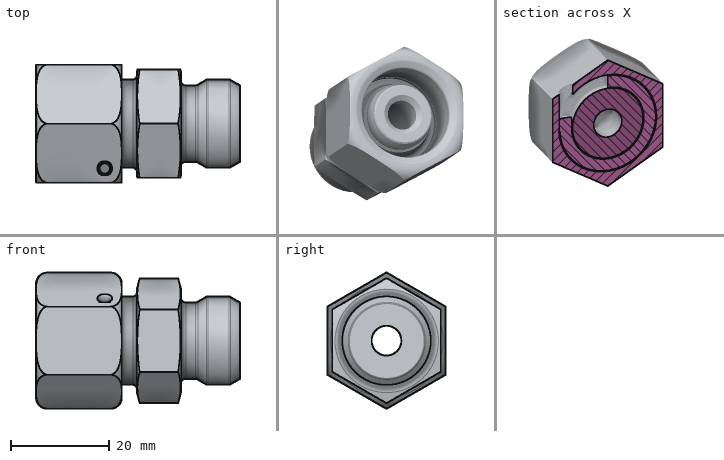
import cadquery as cq
import math


NUT_LENGTH = 17.5
NUT_ACROSS_FLATS = 24.0
NUT_EDGE_ROUND = 2.4
NUT_THREAD_RADIUS = 18.4 / 2
NUT_REAR_RADIUS = 18.25 / 2
NUT_THREAD_DEPTH = 10.0
MOUTH_FLAT_RADIUS = 10.93
MOUTH_CONE_RADII = (10.4, 9.5)
MOUTH_CONE_ANGLE = 60.0
CORNER_FACTOR = 2 / math.sqrt(3)

WIRE_DIAMETER = 2.65
GROOVE_SIDE = WIRE_DIAMETER + 0.2
WIRE_X = 14.0
WIRE_RING_RADIUS = 9.1
WIRE_RING_ANGLE = 270.0
WIRE_TOP_Z = 2.5
WIRE_END_CHAMFER = 0.28
ENTRY_DIAMETER = 3.0
ENTRY_FLOOR_Z = 7.8

BORE_RADIUS = 6.0 / 2
BORE_MOUTH_RADIUS = 4.0
BORE_MOUTH_ANGLE = 45.0
NOSE_X = 2.45
NOSE_TIP_RADIUS = 5.82
NOSE_CHAMFER = 0.28
NOSE_HALF_ANGLE = 12.0
LIP_RADIUS = 6.62
GROOVE_BACK_RADIUS = 7.03
CONE_END_RADIUS = 7.55
SHOULDER_INNER_RADIUS = 8.3

ORING_INNER_RADIUS = 10.2 / 2
ORING_SECTION = 1.5

COLLAR_RADIUS = 17.95 / 2
COLLAR_CHAMFER = 0.14
COLLAR_ROUND = 0.85
HEX_START_X = 20.5
HEX_END_X = 29.5
HEX_ACROSS_FLATS = 22.0
HEX_CORNER_RADIUS = 25.34 / 2
HEX_FACE_RADIUS = 10.5
HEX_CHAMFER_ANGLE = 15.0

RELIEF_ROUND = 1.0
RELIEF_RADIUS = 15.6 / 2
RELIEF_START_X = 30.4
RELIEF_END_X = 32.4
STUD_RADIUS = 18.0 / 2
STUD_CONE_ANGLE = 30.0
STUD_EDGE_ROUND = 0.5
STUD_END_X = 39.2
STUD_TIP_ROUND = 0.25
TOTAL_LENGTH = 41.5


def tangent(degrees):
    return math.tan(math.radians(degrees))


NOSE_SLOPE = tangent(NOSE_HALF_ANGLE)
NOSE_CONE_X = NOSE_X + NOSE_CHAMFER
NOSE_CONE_RADIUS = NOSE_TIP_RADIUS + NOSE_CHAMFER
LIP_X = NOSE_CONE_X + (LIP_RADIUS - NOSE_CONE_RADIUS) / NOSE_SLOPE
GROOVE_BACK_X = NOSE_CONE_X + (GROOVE_BACK_RADIUS - NOSE_CONE_RADIUS) / NOSE_SLOPE
CONE_END_X = NOSE_CONE_X + (CONE_END_RADIUS - NOSE_CONE_RADIUS) / NOSE_SLOPE


def revolve_about_x(profile):
    """Solid of revolution about X from an outline that begins and ends on the axis."""
    return profile.close().revolve(360, (0, 0, 0), (1, 0, 0))


def hexagon(start, length, across_flats):
    """Hexagonal prism along X with corners at the top and bottom."""
    return (
        cq.Workplane("YZ")
        .workplane(offset=start)
        .polygon(6, across_flats * CORNER_FACTOR)
        .extrude(length)
        .rotate((0, 0, 0), (1, 0, 0), 90)
    )


def ring_about_x(x, radius, section, angle=360):
    """Round-section ring about X that starts at the -Y side and runs down through -Z."""
    return (
        cq.Workplane("XY")
        .center(x, -radius)
        .circle(section / 2)
        .revolve(angle, (0, radius, 0), (1, radius, 0))
    )


def wire_groove():
    """Square-section ring, of which the nut and the collar each take a share."""
    return (
        cq.Workplane("XY")
        .center(WIRE_X, WIRE_RING_RADIUS)
        .rect(GROOVE_SIDE, GROOVE_SIDE)
        .revolve(360, (0, -WIRE_RING_RADIUS, 0), (1, -WIRE_RING_RADIUS, 0))
    )


def upright_cylinder(diameter, bottom, top):
    """Vertical cylinder on the line where the wire runs tangentially out of the ring."""
    return (
        cq.Workplane("XY")
        .workplane(offset=bottom)
        .center(WIRE_X, -WIRE_RING_RADIUS)
        .circle(diameter / 2)
        .extrude(top - bottom)
    )


def make_nut():
    corner_radius = NUT_ACROSS_FLATS * CORNER_FACTOR / 2
    face_radius = corner_radius - NUT_EDGE_ROUND
    envelope = revolve_about_x(
        cq.Workplane("XY")
        .lineTo(0, face_radius)
        .radiusArc((NUT_EDGE_ROUND, corner_radius), NUT_EDGE_ROUND)
        .lineTo(NUT_LENGTH - NUT_EDGE_ROUND, corner_radius)
        .radiusArc((NUT_LENGTH, face_radius), NUT_EDGE_ROUND)
        .lineTo(NUT_LENGTH, 0)
    )
    nut = hexagon(0, NUT_LENGTH, NUT_ACROSS_FLATS).intersect(envelope)

    cone_angle = math.radians(MOUTH_CONE_ANGLE)
    cone_outer, cone_inner = MOUTH_CONE_RADII
    lip_round = (MOUTH_FLAT_RADIUS - cone_outer) / math.cos(cone_angle)
    bore_round = (cone_inner - NUT_THREAD_RADIUS) / (1 - math.cos(cone_angle))
    cone_start = lip_round * (1 - math.sin(cone_angle))
    cone_end = cone_start + (cone_outer - cone_inner) / math.tan(cone_angle)
    thread_start = cone_end + bore_round * math.sin(cone_angle)
    cavity = revolve_about_x(
        cq.Workplane("XY")
        .lineTo(0, MOUTH_FLAT_RADIUS)
        .radiusArc((cone_start, cone_outer), -lip_round)
        .lineTo(cone_end, cone_inner)
        .radiusArc((thread_start, NUT_THREAD_RADIUS), -bore_round)
        .lineTo(NUT_THREAD_DEPTH, NUT_THREAD_RADIUS)
        .lineTo(NUT_THREAD_DEPTH, NUT_REAR_RADIUS)
        .lineTo(NUT_LENGTH, NUT_REAR_RADIUS)
        .lineTo(NUT_LENGTH, 0)
    )
    entry = upright_cylinder(ENTRY_DIAMETER, ENTRY_FLOOR_Z, corner_radius)
    wire_passage = upright_cylinder(WIRE_DIAMETER, 0, ENTRY_FLOOR_Z)
    return nut.cut(cavity).cut(wire_groove()).cut(wire_passage).cut(entry)


def make_wrench_hexagon():
    chamfer_length = (HEX_CORNER_RADIUS - HEX_FACE_RADIUS) * tangent(HEX_CHAMFER_ANGLE)
    envelope = revolve_about_x(
        cq.Workplane("XY")
        .moveTo(HEX_START_X, 0)
        .lineTo(HEX_START_X, HEX_FACE_RADIUS)
        .lineTo(HEX_START_X + chamfer_length, HEX_CORNER_RADIUS)
        .lineTo(HEX_END_X - chamfer_length, HEX_CORNER_RADIUS)
        .lineTo(HEX_END_X, HEX_FACE_RADIUS)
        .lineTo(HEX_END_X, 0)
    )
    return hexagon(HEX_START_X, HEX_END_X - HEX_START_X, HEX_ACROSS_FLATS).intersect(envelope)


def make_nose_and_collar():
    nose_angle = math.radians(NOSE_HALF_ANGLE)
    shoulder_round = (SHOULDER_INNER_RADIUS - CONE_END_RADIUS) / (1 - math.sin(nose_angle))
    shoulder_x = CONE_END_X + shoulder_round * math.cos(nose_angle)
    return revolve_about_x(
        cq.Workplane("XY")
        .moveTo(NOSE_X, 0)
        .lineTo(NOSE_X, NOSE_TIP_RADIUS)
        .lineTo(NOSE_CONE_X, NOSE_CONE_RADIUS)
        .lineTo(LIP_X, LIP_RADIUS)
        .lineTo(LIP_X, ORING_INNER_RADIUS)
        .lineTo(GROOVE_BACK_X, ORING_INNER_RADIUS)
        .lineTo(GROOVE_BACK_X, GROOVE_BACK_RADIUS)
        .lineTo(CONE_END_X, CONE_END_RADIUS)
        .radiusArc((shoulder_x, SHOULDER_INNER_RADIUS), -shoulder_round)
        .lineTo(shoulder_x, COLLAR_RADIUS - COLLAR_CHAMFER)
        .lineTo(shoulder_x + COLLAR_CHAMFER, COLLAR_RADIUS)
        .lineTo(HEX_START_X - COLLAR_ROUND, COLLAR_RADIUS)
        .radiusArc((HEX_START_X, COLLAR_RADIUS + COLLAR_ROUND), -COLLAR_ROUND)
        .lineTo(HEX_START_X, 0)
    )


def make_stud():
    """Undercut, cone up to the thread diameter, plain thread cylinder and coned tip."""
    cone_angle = math.radians(STUD_CONE_ANGLE)
    slope = math.tan(cone_angle)
    run_per_radius = math.sin(cone_angle)
    rise_per_radius = 1 - math.cos(cone_angle)

    hex_round_run = RELIEF_START_X - HEX_END_X
    hex_round_rise = RELIEF_ROUND - math.sqrt(RELIEF_ROUND**2 - hex_round_run**2)

    cone_start_x = RELIEF_END_X + RELIEF_ROUND * run_per_radius
    cone_start_radius = RELIEF_RADIUS + RELIEF_ROUND * rise_per_radius
    cone_end_radius = STUD_RADIUS - STUD_EDGE_ROUND * rise_per_radius
    cone_end_x = cone_start_x + (cone_end_radius - cone_start_radius) / slope
    thread_start_x = cone_end_x + STUD_EDGE_ROUND * run_per_radius

    tip_cone_x = STUD_END_X + STUD_EDGE_ROUND * run_per_radius
    tip_round_x = TOTAL_LENGTH - STUD_TIP_ROUND * (1 - run_per_radius)
    tip_round_radius = cone_end_radius - (tip_round_x - tip_cone_x) * slope
    tip_face_radius = tip_round_radius - STUD_TIP_ROUND * math.cos(cone_angle)
    return revolve_about_x(
        cq.Workplane("XY")
        .moveTo(HEX_END_X, 0)
        .lineTo(HEX_END_X, RELIEF_RADIUS + hex_round_rise)
        .radiusArc((RELIEF_START_X, RELIEF_RADIUS), -RELIEF_ROUND)
        .lineTo(RELIEF_END_X, RELIEF_RADIUS)
        .radiusArc((cone_start_x, cone_start_radius), -RELIEF_ROUND)
        .lineTo(cone_end_x, cone_end_radius)
        .radiusArc((thread_start_x, STUD_RADIUS), STUD_EDGE_ROUND)
        .lineTo(STUD_END_X, STUD_RADIUS)
        .radiusArc((tip_cone_x, cone_end_radius), STUD_EDGE_ROUND)
        .lineTo(tip_round_x, tip_round_radius)
        .radiusArc((TOTAL_LENGTH, tip_face_radius), STUD_TIP_ROUND)
        .lineTo(TOTAL_LENGTH, 0)
    )


def make_bore():
    """Through bore with a conical mouth in the nose."""
    mouth_length = (BORE_MOUTH_RADIUS - BORE_RADIUS) / tangent(BORE_MOUTH_ANGLE)
    return revolve_about_x(
        cq.Workplane("XY")
        .moveTo(NOSE_X, 0)
        .lineTo(NOSE_X, BORE_MOUTH_RADIUS)
        .lineTo(NOSE_X + mouth_length, BORE_RADIUS)
        .lineTo(TOTAL_LENGTH, BORE_RADIUS)
        .lineTo(TOTAL_LENGTH, 0)
    )


def make_body():
    body = make_nose_and_collar().union(make_wrench_hexagon()).union(make_stud())
    return body.cut(make_bore()).cut(wire_groove())


def make_oring():
    groove_middle_x = (LIP_X + GROOVE_BACK_X) / 2
    return ring_about_x(groove_middle_x, ORING_INNER_RADIUS + ORING_SECTION / 2, ORING_SECTION)


def make_wire():
    """Three quarters of a ring that runs tangentially into a straight, chamfered end."""
    straight_end = upright_cylinder(WIRE_DIAMETER, 0, WIRE_TOP_Z).faces(">Z").chamfer(WIRE_END_CHAMFER)
    ring = ring_about_x(WIRE_X, WIRE_RING_RADIUS, WIRE_DIAMETER, WIRE_RING_ANGLE)
    return straight_end.union(ring)


nut = make_nut()
body = make_body()
oring = make_oring()
wire = make_wire()

result = cq.Compound.makeCompound([nut.val(), body.val(), oring.val(), wire.val()])